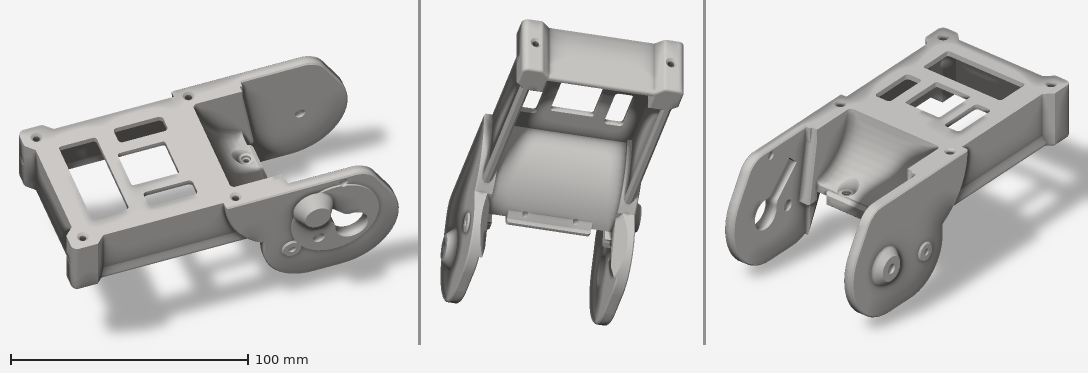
import cadquery as cq
import math

top_z = 55.7

box_bottom_z = 29.2
box_half_width = 31.4
box_front_y = 3.8
wall = 2.0
deck_thickness = 2.5
side_wall_end_y = 82.7
box_inner_half_width = box_half_width - wall

lip_half_width = 32.9
lip_inner_half_width = 28.6
lip_start_z = 34.8
lip_edge_z = 31.1
lip_inner_start_z = 33.5
lip_bevel = 1.2

post_half_width = 35.2
post_inner_x = 22.8
post_depth = 14.9
post_bevel = 3.8
post_rounding = 2.8
post_front_rounding = 1.8
bottom_rounding = 1.2

deck_windows = [
    (-18.8, 49.4, 8.3, 22.0, 1.8),
    (18.8, 49.4, 8.3, 22.0, 1.8),
    (0, 46.2, 18.8, 21.3, 1.0),
    (0, 21.8, 42.4, 16.8, 1.3),
]

screw_radius = 1.5
screw_head_radius = 2.5
screw_depth = 11.7
front_screw_x = 29.4
front_screw_y = 6.5
rear_screw_x = 29.8
rear_screw_y = 74.6
front_face_screw_z = 44.0

bowl_axis_y = 102.2
bowl_radius = 27.8
bowl_half_width = 24.5
bowl_shell = 3.7
bowl_end_y = 96.7
bowl_rounding = 2.0
tongue_half_width = 18.3
tongue_end_y = 99.2
tongue_bottom_z = 21.8
tongue_start_y = 90.5
tongue_bevel = 0.9
tongue_front_bevel = 1.5
bowl_screw_x = 11.0
bowl_screw_y = 93.8
bowl_seat_z = 28.0
bowl_seat_radius = 3.4
bowl_seat_height = 5.8
bowl_seat_top_radius = 7.6
bowl_hole_radius = 1.2
bowl_bore_radius = 2.0
bowl_bore_depth = 1.2

arm_outer_x = 34.9
arm_inner_x = 29.8
arm_edge_bevel = 0.6
nose_y = 120.5
nose_radius = 25.5
nose_slope_angle = math.radians(30)
nose_top_rounding = 11.1
heel_radius = 21.6
heel_front_y = 85.3
arm_front_radius = 33.6
thick_inner_x = 27.3
thick_end_y = 97.9
tab_end_slope = 0.16
tab_bevel = 0.9
tab_bottom_z = 20.5

bevel_top_z = 26.6
bevel_top_x = 29.5
bevel_x_per_z = 0.24
bevel_x_per_y = 0.54
bevel_overrun = 14.6

pivot_y = 124.6
pivot_z = 25.0
cone_base_radius = 9.0
left_cone_tip_radius = 5.8
left_cone_height = 3.7
pivot_hole_radius = 2.3
small_boss_y = 97.9
small_boss_z = 19.1
small_boss_radius = 4.5
small_boss_height = 0.9
small_boss_bevel = 0.6
small_hole_radius = 1.6
pad_y = 117.1
pad_z = 32.1
pad_radius = 19.6
pad_thickness = 0.9
right_cone_y = 107.4
right_cone_z = 42.2
right_cone_tip_radius = 5.7
right_cone_height = 5.8
hub_radius = 7.3
horn_slot_width = 6.7
horn_slot_length = 25.9
horn_slot_rounding = 3.7
horn_slot_angle = 135
arm_holes = [(121.2, 52.6, 1.9), (109.8, 22.2, 2.6)]


def block(x0, x1, y0, y1, z0, z1):
    return cq.Workplane("XY").box(x1 - x0, y1 - y0, z1 - z0, centered=False).translate((x0, y0, z0))


def mirrored(shape):
    return shape.union(shape.mirror("YZ"))


def side_plane(x):
    """Sketch plane at a given X whose local axes are Y and Z and whose normal is +X."""
    return cq.Workplane("YZ", origin=(x, 0, 0))


def x_disc(x0, x1, y, z, radius):
    return side_plane(x0).center(y, z).circle(radius).extrude(x1 - x0)


def x_cone(x_base, x_tip, y, z, base_radius, tip_radius):
    direction = cq.Vector(math.copysign(1, x_tip - x_base), 0, 0)
    height = abs(x_tip - x_base)
    base = cq.Vector(x_base, y, z)
    return cq.Workplane(cq.Solid.makeCone(base_radius, tip_radius, height, base, direction))


def countersunk_hole(mouth, direction):
    """Blind screw hole with a 45 degree countersink, starting at its mouth."""
    start = cq.Vector(*mouth)
    axis = cq.Vector(*direction)
    hole = cq.Solid.makeCylinder(screw_radius, screw_depth, start, axis)
    sink = cq.Solid.makeCone(screw_head_radius, screw_radius, screw_head_radius - screw_radius, start, axis)
    return cq.Workplane(hole).union(cq.Workplane(sink))


def arm_profile(x):
    """Closed arm outline on the plane at the given X."""
    cos_slope = math.cos(nose_slope_angle)
    sin_slope = math.sin(nose_slope_angle)
    slope_y = nose_y + nose_radius * cos_slope
    slope_z = nose_radius * (1 + sin_slope)
    corner_y = slope_y - (top_z - slope_z) * math.tan(nose_slope_angle)
    trim = nose_top_rounding * math.tan((math.pi / 2 - nose_slope_angle) / 2)
    mid_angle = math.pi / 4 + nose_slope_angle / 2
    top_arc_y = corner_y - trim
    top_arc_mid = (
        top_arc_y + nose_top_rounding * math.cos(mid_angle),
        top_z - nose_top_rounding * (1 - math.sin(mid_angle)),
    )
    low_angle = (nose_slope_angle - math.pi / 2) / 2
    nose_mid = (nose_y + nose_radius * math.cos(low_angle), nose_radius * (1 + math.sin(low_angle)))
    heel_y = heel_front_y + heel_radius
    heel_mid = (heel_y - heel_radius * math.sqrt(0.5), heel_radius * (1 - math.sqrt(0.5)))
    front_angle = math.acos((bowl_axis_y - heel_front_y) / arm_front_radius)
    front_start_z = top_z - arm_front_radius * math.sin(front_angle)
    front_mid = (
        bowl_axis_y - arm_front_radius * math.cos(front_angle / 2),
        top_z - arm_front_radius * math.sin(front_angle / 2),
    )
    return (
        side_plane(x)
        .moveTo(bowl_axis_y - arm_front_radius, top_z)
        .lineTo(top_arc_y, top_z)
        .threePointArc(top_arc_mid, (corner_y + trim * sin_slope, top_z - trim * cos_slope))
        .lineTo(slope_y, slope_z)
        .threePointArc(nose_mid, (nose_y, 0))
        .lineTo(heel_y, 0)
        .threePointArc(heel_mid, (heel_front_y, heel_radius))
        .lineTo(heel_front_y, front_start_z)
        .threePointArc(front_mid, (bowl_axis_y - arm_front_radius, top_z))
        .close()
    )


def tab():
    """Left tab beside the bowl, whose rear end leans back towards the bottom."""
    rear_bottom_y = bowl_end_y + (top_z - tab_bottom_z) * tab_end_slope
    outline = [(0, tab_bottom_z), (rear_bottom_y, tab_bottom_z), (bowl_end_y, top_z), (0, top_z)]
    width = arm_inner_x + arm_edge_bevel - bowl_half_width
    start_x = -bowl_half_width - width
    leaning = side_plane(start_x).polyline(outline).close().extrude(width)
    rear_edge = (-bowl_half_width, (rear_bottom_y + bowl_end_y) / 2, (tab_bottom_z + top_z) / 2)
    leaning = leaning.edges(cq.selectors.NearestToPointSelector(rear_edge)).chamfer(tab_bevel)
    shell = x_disc(start_x, -bowl_half_width, bowl_axis_y, top_z, bowl_radius + bowl_shell)
    behind_shell = block(start_x, -bowl_half_width, bowl_end_y, bowl_axis_y, 0, top_z)
    return leaning.intersect(shell.union(behind_shell))


def inner_bevel():
    """Wedge that removes the inner front edge of the left arm below the box."""

    def corner(y, z):
        """X where the bevel plane passes at the given Y and Z."""
        return -bevel_top_x + bevel_x_per_y * (y - heel_front_y) + bevel_x_per_z * (z - bevel_top_z)

    front_y = heel_front_y - bevel_overrun
    rear_y = bowl_axis_y + bevel_overrun

    def triangle(z):
        return [
            (corner(front_y, z), front_y),
            (corner(rear_y, z), rear_y),
            (corner(rear_y, z), front_y),
        ]

    return (
        cq.Workplane("XY")
        .polyline(triangle(0)).close()
        .workplane(offset=bevel_top_z)
        .polyline(triangle(bevel_top_z)).close()
        .loft(ruled=True)
    )


def left_arm():
    plate = arm_profile(-arm_outer_x).extrude(arm_outer_x - arm_inner_x)
    plate = plate.faces("<X or >X").chamfer(arm_edge_bevel)
    start_x = -arm_inner_x - arm_edge_bevel
    thick = arm_profile(start_x).extrude(-thick_inner_x - start_x)
    thick = thick.intersect(block(start_x, -thick_inner_x, 0, thick_end_y, 0, top_z))
    return plate.union(thick).cut(inner_bevel()).union(tab())


def small_boss():
    tip_x = -arm_outer_x - small_boss_height
    boss = x_disc(tip_x, -arm_outer_x, small_boss_y, small_boss_z, small_boss_radius)
    return boss.faces("<X").chamfer(small_boss_bevel)


def side_wall():
    """Left side wall with its flared bottom lip."""
    section = [
        (-box_half_width, top_z),
        (-box_half_width, lip_start_z),
        (-lip_half_width, lip_edge_z),
        (-lip_half_width, box_bottom_z + lip_bevel),
        (-lip_half_width + lip_bevel, box_bottom_z),
        (-lip_inner_half_width - lip_bevel, box_bottom_z),
        (-lip_inner_half_width, box_bottom_z + lip_bevel),
        (-box_inner_half_width, lip_inner_start_z),
        (-box_inner_half_width, top_z),
    ]
    start_y = post_depth - post_bevel
    length = side_wall_end_y - start_y
    return cq.Workplane("XZ", origin=(0, start_y, 0)).polyline(section).close().extrude(-length)


def corner_post():
    front_bevel = box_front_y
    outline = [
        (-post_half_width, 0),
        (-post_inner_x - front_bevel, 0),
        (-post_inner_x, front_bevel),
        (-post_inner_x, post_depth),
        (-post_half_width + post_bevel, post_depth),
        (-post_half_width, post_depth - post_bevel),
    ]
    base = cq.Workplane("XY", origin=(0, 0, box_bottom_z))
    post = base.polyline(outline).close().extrude(top_z - box_bottom_z)
    mid_z = (top_z + box_bottom_z) / 2
    outer_edge = cq.selectors.NearestToPointSelector((-post_half_width, 0, mid_z))
    front_edge = cq.selectors.NearestToPointSelector((-post_inner_x - front_bevel, 0, mid_z))
    post = post.edges(outer_edge).fillet(post_rounding).edges(front_edge).fillet(post_front_rounding)
    return post.faces("<Z").edges().fillet(bottom_rounding)


def front_and_deck():
    half = post_inner_x + bottom_rounding
    front = block(-half, half, box_front_y, box_front_y + wall, box_bottom_z, top_z)
    front = front.edges("<Y and <Z").fillet(bottom_rounding)
    deck = block(-box_half_width, box_half_width, box_front_y, bowl_end_y, top_z - deck_thickness, top_z)
    for x, y, width, length, radius in deck_windows:
        window = block(
            x - width / 2, x + width / 2, y - length / 2, y + length / 2, top_z - deck_thickness, top_z
        )
        deck = deck.cut(window.edges("|Z").fillet(radius))
    return front.union(deck)


def bowl_shell_wall():
    half = arm_inner_x
    shell = x_disc(-half, half, bowl_axis_y, top_z, bowl_radius + bowl_shell)
    shell = shell.intersect(block(-half, half, 0, bowl_end_y, 0, top_z))
    return shell.union(tongue())


def tongue():
    """Bevelled strip below and behind the rear edge of the bowl."""
    bowl_bottom_z = top_z - bowl_radius
    front_y = bowl_end_y - tongue_front_bevel / 2
    outline = [
        (tongue_start_y, bowl_bottom_z),
        (front_y, tongue_bottom_z + tongue_front_bevel),
        (bowl_end_y, tongue_bottom_z),
        (tongue_end_y - tongue_bevel, tongue_bottom_z),
        (tongue_end_y, tongue_bottom_z + tongue_bevel),
        (tongue_end_y, bowl_bottom_z - tongue_bevel),
        (tongue_end_y - 2 * tongue_bevel, bowl_bottom_z),
    ]
    strip = side_plane(-tongue_half_width).polyline(outline).close().extrude(2 * tongue_half_width)
    limits = block(
        -tongue_half_width, tongue_half_width, tongue_start_y, tongue_end_y, tongue_bottom_z, bowl_bottom_z
    )
    return strip.intersect(limits.edges("(|Z and >Y) or (|Y and <Z)").chamfer(tongue_bevel))


def bowl_cavity():
    cavity = x_disc(-bowl_half_width, bowl_half_width, bowl_axis_y, top_z, bowl_radius)
    return cavity.edges().fillet(bowl_rounding)


def bowl_screw_seat(x):
    start = cq.Vector(x, bowl_screw_y, bowl_seat_z)
    up = cq.Vector(0, 0, 1)
    seat = cq.Solid.makeCone(bowl_seat_radius, bowl_seat_top_radius, bowl_seat_height, start, up)
    hole = cq.Solid.makeCylinder(bowl_hole_radius, bowl_seat_z, start, -up)
    bore = cq.Solid.makeCylinder(bowl_bore_radius, bowl_bore_depth, start, -up)
    return cq.Workplane(seat).union(cq.Workplane(bore)).union(cq.Workplane(hole))


def horn_opening():
    """Hub opening with a slot pointing forward and up, through the right arm and its pad."""
    start_x = thick_inner_x
    depth = arm_outer_x + pad_thickness - start_x
    slot = (
        side_plane(start_x)
        .rect(horn_slot_length, horn_slot_width)
        .extrude(depth)
        .translate((0, horn_slot_length / 2, 0))
        .rotate((0, 0, 0), (1, 0, 0), horn_slot_angle)
        .translate((0, pivot_y, pivot_z))
    )
    opening = x_disc(start_x, start_x + depth, pivot_y, pivot_z, hub_radius).union(slot)
    reach = math.sqrt(hub_radius**2 - (horn_slot_width / 2) ** 2)
    for side in (-1, 1):
        along = math.radians(horn_slot_angle)
        across = along + side * math.pi / 2
        y = pivot_y + reach * math.cos(along) + horn_slot_width / 2 * math.cos(across)
        z = pivot_z + reach * math.sin(along) + horn_slot_width / 2 * math.sin(across)
        junction = cq.selectors.NearestToPointSelector((start_x + depth / 2, y, z))
        opening = opening.edges(junction).fillet(horn_slot_rounding)
    return opening


result = front_and_deck().union(bowl_shell_wall())
for part in (side_wall(), corner_post(), left_arm(), small_boss()):
    result = result.union(mirrored(part))
result = result.cut(bowl_cavity())

outer_left = -arm_outer_x - left_cone_height
result = result.union(
    x_cone(-arm_outer_x, outer_left, pivot_y, pivot_z, cone_base_radius, left_cone_tip_radius)
)
result = result.cut(x_disc(outer_left, 0, pivot_y, pivot_z, pivot_hole_radius))

pad_outer_x = arm_outer_x + pad_thickness
result = result.union(x_disc(arm_outer_x, pad_outer_x, pad_y, pad_z, pad_radius))
result = result.cut(horn_opening())
result = result.union(
    x_cone(
        pad_outer_x, pad_outer_x + right_cone_height, right_cone_y, right_cone_z,
        cone_base_radius, right_cone_tip_radius,
    )
)

for y, z, radius in arm_holes:
    result = result.cut(x_disc(0, pad_outer_x, y, z, radius))
boss_reach = arm_outer_x + small_boss_height
result = result.cut(x_disc(-boss_reach, boss_reach, small_boss_y, small_boss_z, small_hole_radius))

for side in (-1, 1):
    result = result.cut(countersunk_hole((side * front_screw_x, front_screw_y, top_z), (0, 0, -1)))
    result = result.cut(countersunk_hole((side * rear_screw_x, rear_screw_y, top_z), (0, 0, -1)))
    result = result.cut(countersunk_hole((side * front_screw_x, 0, front_face_screw_z), (0, 1, 0)))
    result = result.cut(bowl_screw_seat(side * bowl_screw_x))